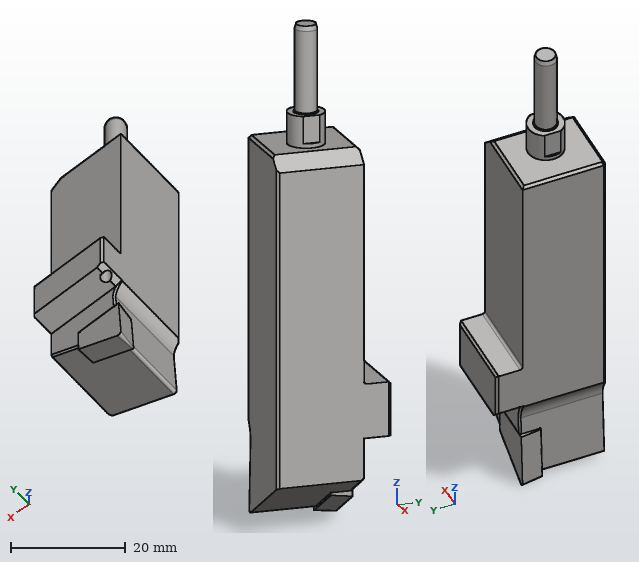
import cadquery as cq
import math


shank_width = 15.97
shank_depth = 16.0
shank_top = 70.0
top_edge_chamfer = 0.5
corner_chamfer = 0.45
top_bevel_width = 2.85
top_bevel_height = 2.5

head_reach = 5.0
head_bottom = 17.6
head_height = 9.9
head_chamfer = 0.45
head_root_fillet = 0.5
head_bevel = 1.2

nose_angle = 30.5
side_clearance = 3.0
nose_right_height = 10.0
gullet_radius = 6.0
gullet_top = 18.65
gullet_bottom = 14.8
gullet_depth = 1.5
nose_corner_radius = 0.5
wall_edge_chamfer = 0.35

coolant_diameter = 2.0
coolant_depth = 5.0
coolant_x = 1.3
coolant_y = shank_depth + head_reach / 2

collar_diameter = 6.75
collar_height = 5.75
collar_flats = 6.0
flats_start = 0.8
pin_diameter = 4.0
pin_tip_chamfer = 0.25
pin_tip_length = 0.85
pin_root_diameter = 4.4
overall_height = 91.75

insert_thickness = 4.0
insert_relief = 7.0
insert_side_top = 11.1
insert_right = 9.75
insert_end_height = 1.5
insert_corner_radius = 0.6

edge_margin = 0.1
nose_slope = math.tan(math.radians(nose_angle))
side_slope = math.tan(math.radians(side_clearance))


def nose_underside(x):
    """Height of the slanted nose underside at a given X."""
    return nose_right_height - (shank_width - x) * nose_slope


def make_blank():
    """Shank with the head, before the cutting end is shaped."""
    shank = cq.Workplane("XY").box(shank_width, shank_depth, shank_top, centered=False)
    shank = shank.edges("|Z and <Y").chamfer(corner_chamfer)
    shank = shank.faces(">Z").chamfer(top_edge_chamfer)
    head = (
        cq.Workplane("XY", origin=(0, 0, head_bottom))
        .box(shank_width, shank_depth + head_reach, head_height, centered=False)
        .edges("|Y and <X and <Z").chamfer(head_bevel)
        .edges("|Z and <Y").chamfer(corner_chamfer)
        .edges(">Y and (|Z or >Z)").chamfer(head_chamfer)
    )
    root_z = head_bottom + head_height
    root = cq.selectors.BoxSelector(
        (0, shank_depth - edge_margin, root_z - edge_margin),
        (shank_width, shank_depth + edge_margin, root_z + edge_margin),
    )
    return shank.union(head).edges(root).fillet(head_root_fillet)


def make_side_envelope():
    """Outline in XZ that gives the top bevel, the nose and the gullet."""
    wall_drop = gullet_bottom - nose_underside(gullet_depth)
    corner_x = gullet_depth - wall_drop * side_slope / (1 - side_slope * nose_slope)
    outline = (
        cq.Workplane("XZ")
        .moveTo(0, shank_top)
        .lineTo(0, gullet_top)
        .radiusArc((gullet_depth, gullet_bottom), gullet_radius)
        .lineTo(corner_x, nose_underside(corner_x))
        .lineTo(shank_width, nose_right_height)
        .lineTo(shank_width, shank_top - top_bevel_height)
        .lineTo(shank_width - top_bevel_width, shank_top)
        .close()
    )
    envelope = outline.extrude(-(shank_depth + head_reach))
    return envelope.edges("|Y and <Z").fillet(nose_corner_radius)


def break_wall_edge(holder):
    """Chamfer the front edge of the gullet and of the leaning wall below it."""
    wall_edge = cq.selectors.BoxSelector(
        (0, shank_depth - edge_margin, nose_underside(gullet_depth)),
        (gullet_depth + edge_margin, shank_depth + edge_margin, head_bottom - edge_margin),
    )
    return holder.edges(wall_edge).chamfer(wall_edge_chamfer)


def make_insert():
    """Plate with a rounded tip whose cutting edges are relieved away from the front face."""
    side_angle = math.radians(180 - side_clearance)
    under_angle = math.radians(270 + nose_angle)

    def tip_point(angle):
        return (
            insert_corner_radius * (1 + math.cos(angle)),
            insert_corner_radius * (1 + math.sin(angle)),
        )

    side_start = tip_point(side_angle)
    under_start = tip_point(under_angle)
    run_out = insert_thickness
    far_x = insert_right + run_out
    under_end = (far_x, under_start[1] + (far_x - under_start[0]) * nose_slope)
    far_z = under_end[1] + insert_end_height
    side_end_z = insert_side_top + run_out
    side_end = (side_start[0] + (side_end_z - side_start[1]) * side_slope, side_end_z)
    plate = (
        cq.Workplane("XZ", origin=(0, shank_depth, 0))
        .moveTo(*side_start)
        .threePointArc(tip_point((side_angle + under_angle) / 2), under_start)
        .lineTo(*under_end)
        .lineTo(far_x, far_z)
        .lineTo(*side_end)
        .close()
        .extrude(insert_thickness, taper=insert_relief)
    )
    trim = cq.Workplane("XY").box(insert_right, shank_depth, insert_side_top, centered=False)
    return plate.intersect(trim)


def make_stop_pin():
    """Collar with two wrench flats and the pin above it."""
    pin_height = overall_height - shank_top
    collar_radius = collar_diameter / 2
    pin_radius = pin_diameter / 2
    root_radius = pin_root_diameter / 2
    root_height = root_radius - pin_radius
    profile = (
        cq.Workplane("XZ")
        .lineTo(collar_radius, 0)
        .lineTo(collar_radius, collar_height)
        .lineTo(root_radius, collar_height)
        .lineTo(pin_radius, collar_height + root_height)
        .lineTo(pin_radius, pin_height - pin_tip_length)
        .lineTo(pin_radius - pin_tip_chamfer, pin_height)
        .lineTo(0, pin_height)
        .close()
    )
    pin = profile.revolve(360, (0, 0, 0), (0, 1, 0))
    for side in (-1, 1):
        flat = (
            cq.Workplane("XY", origin=(side * collar_flats, 0, flats_start))
            .box(collar_flats, collar_diameter, collar_height, centered=(True, True, False))
        )
        pin = pin.cut(flat)
    return pin.translate((shank_width / 2, shank_depth / 2, shank_top))


def make_coolant_hole():
    """Blind hole rising into the underside of the head."""
    return (
        cq.Workplane("XY", origin=(coolant_x, coolant_y, head_bottom))
        .circle(coolant_diameter / 2)
        .extrude(coolant_depth)
    )


insert = make_insert()
holder = break_wall_edge(make_blank().intersect(make_side_envelope()))
holder = holder.union(make_stop_pin())
holder = holder.cut(make_coolant_hole())
holder = holder.cut(insert)

result = cq.Compound.makeCompound([holder.val(), insert.val()])